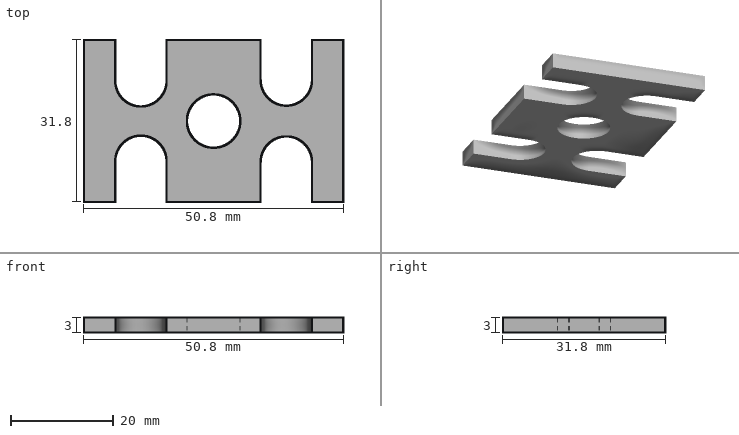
import cadquery as cq

length = 50.8
width = 31.75
thickness = 3.0

hole_diameter = 10.4

slot_width = 10.0
slot_offset = 14.2
left_slot_depth = 13.0
right_slot_depth = 12.85


def slot_pair(x_center, depth):
    """Two facing slots, cut inward from the front and back edges."""
    radius = slot_width / 2
    edge = width / 2
    shoulder = edge - depth + radius
    back_slot = (
        cq.Workplane("XY")
        .moveTo(x_center - radius, edge)
        .lineTo(x_center - radius, shoulder)
        .threePointArc((x_center, edge - depth), (x_center + radius, shoulder))
        .lineTo(x_center + radius, edge)
        .close()
        .extrude(thickness)
    )
    return back_slot.union(back_slot.mirror("XZ"))


plate = cq.Workplane("XY").box(length, width, thickness, centered=(True, True, False))
center_hole = cq.Workplane("XY").circle(hole_diameter / 2).extrude(thickness)

result = (
    plate
    .cut(center_hole)
    .cut(slot_pair(-slot_offset, left_slot_depth))
    .cut(slot_pair(slot_offset, right_slot_depth))
)